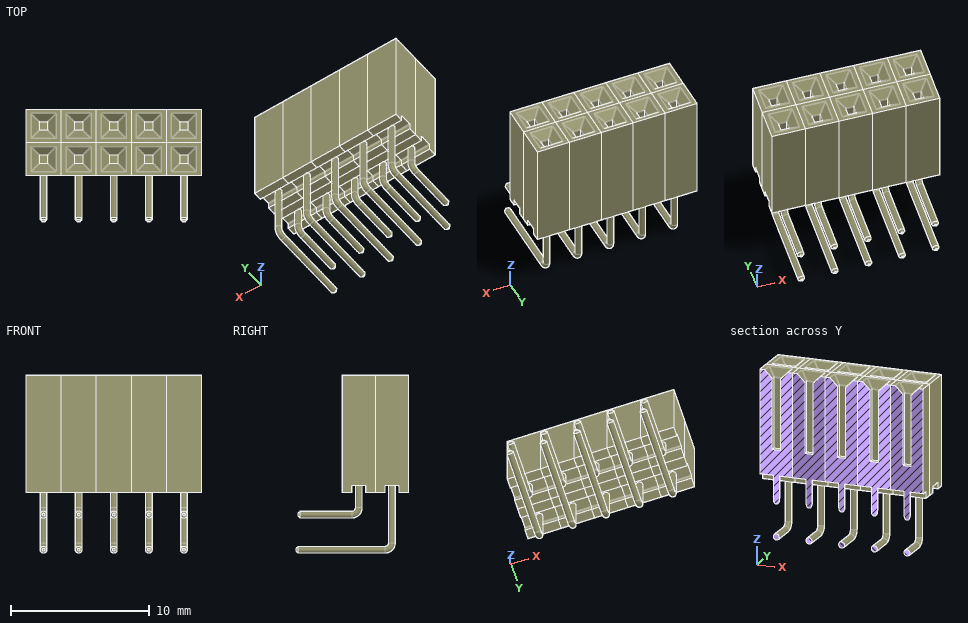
import cadquery as cq

columns = 5
column_pitch = 2.54
row_pitch = 2.4

block_height = 8.5
slot_width = 1.0
slot_depth = 0.5

moulded_edge_radius = 0.05

mouth_width = 1.8
socket_width = 0.6
mouth_depth = 0.6
socket_depth = 6.0

tail_diameter = 0.5
bend_radius = 0.5
tip_length = 0.16
tip_diameter = 0.2
tail_spacing = 2.54
front_tail_drop = 1.6
front_tail_reach = 4.4
back_tail_drop = front_tail_drop + tail_spacing
back_tail_reach = front_tail_reach + tail_spacing


def make_block():
    """Insulator block centred on the Z axis, with its socket on top and a slot along X below."""
    block = cq.Workplane("XY").box(column_pitch, row_pitch, block_height, centered=(True, True, False))

    slot = (
        cq.Workplane("XY")
        .box(column_pitch, slot_width, slot_depth, centered=(True, True, False))
        .edges("|X and >Z")
        .fillet(moulded_edge_radius)
    )

    mouth = (
        cq.Workplane("XY", origin=(0, 0, block_height))
        .rect(mouth_width, mouth_width)
        .workplane(offset=-mouth_depth)
        .rect(socket_width, socket_width)
        .loft(ruled=True)
    )
    socket = (
        cq.Workplane("XY", origin=(0, 0, block_height - socket_depth))
        .rect(socket_width, socket_width)
        .extrude(socket_depth - mouth_depth)
    )
    block = block.cut(slot).cut(mouth).cut(socket)

    mouth_zone = cq.selectors.BoxSelector(
        (-mouth_width, -mouth_width, block_height - 2 * mouth_depth),
        (mouth_width, mouth_width, block_height + mouth_depth),
    )
    mouth_faces = block.faces("not (|Z or #Z)").faces(mouth_zone)
    return mouth_faces.edges().fillet(moulded_edge_radius)


def make_tail(drop, reach):
    """Round wire from the slot roof down to z = -drop, bent to run a length of reach along -Y."""
    path = (
        cq.Workplane("YZ")
        .moveTo(0, slot_depth)
        .lineTo(0, bend_radius - drop)
        .radiusArc((-bend_radius, -drop), bend_radius)
        .lineTo(tip_length - reach, -drop)
    )
    wire = cq.Workplane("XY", origin=(0, 0, slot_depth)).circle(tail_diameter / 2).sweep(path)

    tip = (
        cq.Workplane("XZ", origin=(0, tip_length - reach, -drop))
        .circle(tail_diameter / 2)
        .workplane(offset=tip_length)
        .circle(tip_diameter / 2)
        .loft(ruled=True)
    )
    return wire.union(tip)


def make_contact_cell(drop, reach):
    """One body: an insulator block with its tail."""
    return make_block().union(make_tail(drop, reach))


front_cell = make_contact_cell(front_tail_drop, front_tail_reach)
back_cell = make_contact_cell(back_tail_drop, back_tail_reach)

cells = []
for column in range(columns):
    x = (column - (columns - 1) / 2) * column_pitch
    cells.append(front_cell.translate((x, -row_pitch / 2, 0)).val())
    cells.append(back_cell.translate((x, row_pitch / 2, 0)).val())

result = cq.Compound.makeCompound(cells)